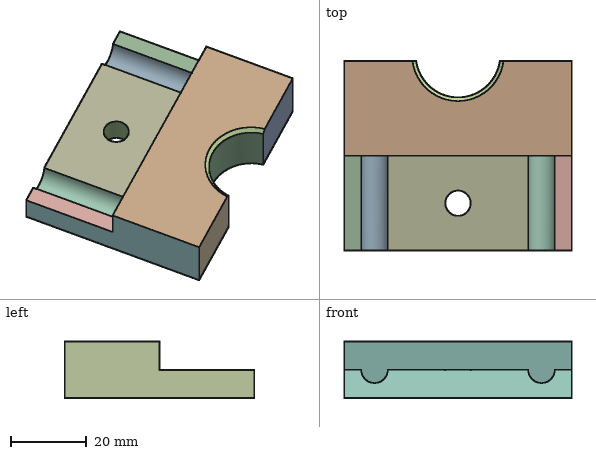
import cadquery as cq

length = 60.0
width = 50.0
height = 15.0

step_depth = width / 2
step_height = height / 2

groove_diameter = 7.0
groove_spacing = 44.0

hole_diameter = 6.6

cutout_radius = 11.1
cutout_axis_offset = 1.5
cutout_chamfer = 1.0

front_y = -width / 2
back_y = width / 2
step_wall_y = front_y + step_depth


def make_body():
    """L-shaped profile in YZ, extruded along X."""
    return (
        cq.Workplane("YZ")
        .moveTo(front_y, 0)
        .lineTo(back_y, 0)
        .lineTo(back_y, height)
        .lineTo(step_wall_y, height)
        .lineTo(step_wall_y, step_height)
        .lineTo(front_y, step_height)
        .close()
        .extrude(length / 2, both=True)
    )


def make_grooves():
    """Cylinders centred on the step surface, ending at the step wall."""
    return (
        cq.Workplane("XZ", origin=(0, front_y, step_height))
        .pushPoints([(-groove_spacing / 2, 0), (groove_spacing / 2, 0)])
        .circle(groove_diameter / 2)
        .extrude(-step_depth)
    )


def make_hole():
    hole_y = front_y + step_depth / 2
    return cq.Workplane("XY", origin=(0, hole_y, 0)).circle(hole_diameter / 2).extrude(step_height)


def make_cutout():
    """Vertical cylinder widening into a cone at the top face."""
    axis_y = back_y + cutout_axis_offset
    bore = cq.Workplane("XY", origin=(0, axis_y, 0)).circle(cutout_radius).extrude(height)
    cone = cq.Workplane(
        cq.Solid.makeCone(
            cutout_radius,
            cutout_radius + cutout_chamfer,
            cutout_chamfer,
            pnt=cq.Vector(0, axis_y, height - cutout_chamfer),
        )
    )
    return bore.union(cone)


result = make_body().cut(make_grooves()).cut(make_hole()).cut(make_cutout())